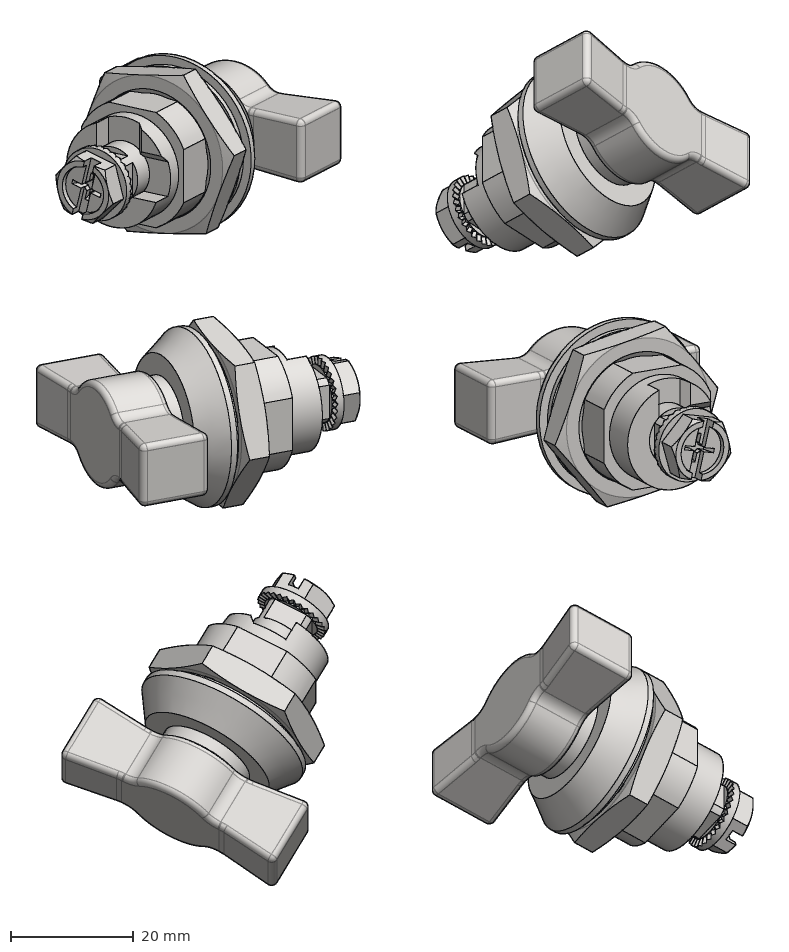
import cadquery as cq
import math


FLANGE_FRONT = 3.55
FLANGE_BACK = 5.1
BARREL_END = 8.85
STOP_FLOOR = 12.35
BODY_END = 14.75
NUT_FRONT = 21.05
NUT_BACK = 25.75
GASKET_FRONT = 26.3
BEZEL_FRONT = 27.25
BEZEL_RIM_TOP = 28.3
BEZEL_TOP = 33.35
HUB_BOTTOM = 35.6
HUB_TOP = 45.8

HEX_HALF_CORNER = math.radians(30)
MARGIN = 0.45

BEZEL_DIAMETER = 30.0
BEZEL_TOP_DIAMETER = 23.15
BODY_DIAMETER = 22.0
BODY_ACROSS_FLATS = 20.0
BARREL_DIAMETER = 18.0
STOP_EDGE = -3.1
STOP_BLOCK_EDGE = 2.9
STOP_BLOCK_HEIGHT = 1.2
STOP_BLOCK_SLOPE = 45.0

GASKET_DIAMETER = 27.0
NUT_ACROSS_FLATS = 27.0
NUT_BORE = 20.6
NUT_BORE_MOUTH = 22.35
NUT_LEAD_IN_ANGLE = 60.0
NUT_ANGLE = 9.4
NUT_CHAMFER_ANGLE = 15.0
NUT_TOOTH_COUNT = 4
NUT_TOOTH_ANGLE = 72.0
NUT_TOOTH_RADIUS = 12.2
NUT_TOOTH_WIDTH = 0.45
NUT_TOOTH_LENGTH = 1.7
NUT_TOOTH_RAMP = 0.5

HUB_DIAMETER = 18.0
KNOB_NECK_DIAMETER = 15.8
SPINDLE_DIAMETER = 9.8
SPINDLE_SQUARE = 7.8
WING_SPAN = 40.0
WING_END_HEIGHT = 11.0
WING_TAPER = 1.6
WING_ROOT_RADIUS = 3.0
WING_EDGE_RADIUS = 1.0
WING_ROOT = 9.55
FLARE_BEND_LENGTH = 0.45
TOP_FLARE = 7.4
BOTTOM_FLARE = 5.0

FLANGE_DIAMETER = 12.4
FLANGE_TOOTH_COUNT = 30
FLANGE_NOTCH_DEPTH = 0.4
FLANGE_NOTCH_SHARE = 0.9
FLANGE_NOTCH_ANGLE = 8.7
HEAD_ACROSS_FLATS = 10.0
HEAD_ANGLE = -14.0
HEAD_CHAMFER_ANGLE = 30.0
HEAD_RECESS_DIAMETER = 8.05
HEAD_RECESS_DEPTH = 1.0
SLOT_WIDTH = 1.95
SLOT_DEPTH = 2.0
CROSS_DEPTH = 3.05
CROSS_WIDTH = 0.7
CROSS_TOP_REACH = 2.8
CROSS_BOTTOM_REACH = 2.05
CROSS_CORE_DIAMETER = 1.9
THREAD_DIAMETER = 6.0
THREAD_END = BODY_END


def plane_at(y):
    """Workplane across the axis at station y; sketches on it extrude towards -Y."""
    return cq.Workplane("XZ", origin=(0, y, 0))


def cylinder(diameter, y_low, y_high):
    return plane_at(y_high).circle(diameter / 2).extrude(y_high - y_low)


def square_bar(side, y_low, y_high):
    return plane_at(y_high).rect(side, side).extrude(y_high - y_low)


def hexagon(across_flats, y_low, y_high, angle):
    """Hexagonal prism with one corner at the given angle from +X towards +Z."""
    corners = across_flats / math.cos(HEX_HALF_CORNER)
    prism = plane_at(y_high).polygon(6, corners).extrude(y_high - y_low)
    return turned(prism, angle)


def revolved(points):
    """Solid of revolution about Y from (radius, station) points."""
    return cq.Workplane("XY").polyline(points).close().revolve(360, (0, 0, 0), (0, 1, 0))


def turned(shape, angle):
    """Turn a shape about the axis, from +X towards +Z."""
    return shape.rotate((0, 0, 0), (0, -1, 0), angle)


def corner_cone(across_flats, y_low, y_high, angle, both_ends):
    """Turned envelope that chamfers the corners of a hexagon at its low end, or at both ends."""
    face_radius = across_flats / 2
    corner_radius = face_radius / math.cos(HEX_HALF_CORNER) + MARGIN
    drop = (corner_radius - face_radius) * math.tan(math.radians(angle))
    profile = [(0, y_low), (face_radius, y_low), (corner_radius, y_low + drop)]
    if both_ends:
        profile += [(corner_radius, y_high - drop), (face_radius, y_high), (0, y_high)]
    else:
        profile += [(corner_radius, y_high), (0, y_high)]
    return revolved(profile)


def quadrant_block(edge, y_low, y_high):
    """Block that covers the part of the barrel with X and Z above the edge value."""
    size = BARREL_DIAMETER
    return (
        plane_at(y_high)
        .rect(size, size, centered=False)
        .extrude(y_high - y_low)
        .translate((edge, 0, edge))
    )


def make_stop_block():
    """Raised corner block on the pocket floor, with two sloping inner sides."""
    half_side = BARREL_DIAMETER
    block = (
        plane_at(STOP_FLOOR)
        .rect(2 * half_side, 2 * half_side)
        .extrude(STOP_BLOCK_HEIGHT, taper=STOP_BLOCK_SLOPE)
        .translate((STOP_BLOCK_EDGE + half_side, 0, STOP_BLOCK_EDGE + half_side))
    )
    return block.intersect(cylinder(BARREL_DIAMETER, BARREL_END, STOP_FLOOR))


def flatted_body(y_low, y_high):
    """Round body with four flats."""
    flats = square_bar(BODY_ACROSS_FLATS, y_low, y_high)
    return cylinder(BODY_DIAMETER, y_low, y_high).intersect(flats)


def make_housing():
    bezel_radius = BEZEL_DIAMETER / 2
    bezel_profile = [
        (0, BEZEL_FRONT),
        (bezel_radius, BEZEL_FRONT),
        (bezel_radius, BEZEL_RIM_TOP),
        (BEZEL_TOP_DIAMETER / 2, BEZEL_TOP),
        (0, BEZEL_TOP),
    ]
    bezel = revolved(bezel_profile)
    body = flatted_body(BODY_END, BEZEL_FRONT)
    barrel = cylinder(BARREL_DIAMETER, BARREL_END, BODY_END)
    barrel = barrel.cut(quadrant_block(STOP_EDGE, BARREL_END, STOP_FLOOR)).union(make_stop_block())
    bore = cylinder(SPINDLE_DIAMETER, BARREL_END, BEZEL_TOP)
    return bezel.union(body).union(barrel).cut(bore)


def make_gasket():
    ring = cylinder(GASKET_DIAMETER, GASKET_FRONT, BEZEL_FRONT)
    return ring.cut(cylinder(BODY_DIAMETER, GASKET_FRONT, BEZEL_FRONT))


def make_nut_tooth():
    """Ramped tooth on the nut back face, bearing on the gasket; built at +X, then turned into place."""
    half = NUT_TOOTH_LENGTH / 2
    side = [
        (-half, NUT_BACK),
        (-half, GASKET_FRONT),
        (half - NUT_TOOTH_RAMP, GASKET_FRONT),
        (half, NUT_BACK),
    ]
    return (
        cq.Workplane("ZY", origin=(NUT_TOOTH_RADIUS, 0, 0))
        .polyline(side)
        .close()
        .extrude(NUT_TOOTH_WIDTH / 2, both=True)
    )


def make_nut():
    nut = hexagon(NUT_ACROSS_FLATS, NUT_FRONT, NUT_BACK, NUT_ANGLE)
    nut = nut.intersect(corner_cone(NUT_ACROSS_FLATS, NUT_FRONT, NUT_BACK, NUT_CHAMFER_ANGLE, True))
    nut = nut.cut(cylinder(NUT_BORE, NUT_FRONT, NUT_BACK)).cut(flatted_body(NUT_FRONT, NUT_BACK))
    lead_in_depth = (NUT_BORE_MOUTH - NUT_BORE) / 2 / math.tan(math.radians(NUT_LEAD_IN_ANGLE))
    lead_in = plane_at(NUT_FRONT).circle(NUT_BORE_MOUTH / 2)
    nut = nut.cut(lead_in.extrude(-lead_in_depth, taper=NUT_LEAD_IN_ANGLE))
    for i in range(NUT_TOOTH_COUNT):
        nut = nut.union(turned(make_nut_tooth(), NUT_TOOTH_ANGLE + i * 360 / NUT_TOOTH_COUNT))
    return nut


def bend_end(hub_y, flare_angle):
    """Point on a flared wing face where its bend ends, one bend length from the root."""
    run = FLARE_BEND_LENGTH * math.cos(math.radians(flare_angle))
    rise = FLARE_BEND_LENGTH * math.sin(math.radians(flare_angle))
    return (WING_ROOT + run, hub_y + rise)


def make_flare(low_tip, high_tip):
    """Side profile of the knob: flat over the hub, flaring to the wing tips through small bends."""
    tip_x = WING_SPAN / 2
    profile = (
        cq.Workplane("XY")
        .moveTo(0, HUB_BOTTOM)
        .lineTo(WING_ROOT - FLARE_BEND_LENGTH, HUB_BOTTOM)
        .tangentArcPoint(bend_end(HUB_BOTTOM, -BOTTOM_FLARE), relative=False)
        .lineTo(tip_x, low_tip)
        .lineTo(tip_x, high_tip)
        .lineTo(*bend_end(HUB_TOP, TOP_FLARE))
        .tangentArcPoint((WING_ROOT - FLARE_BEND_LENGTH, HUB_TOP), relative=False)
        .lineTo(0, HUB_TOP)
        .mirrorY()
    )
    return profile.extrude(HUB_DIAMETER / 2 + MARGIN, both=True)


def make_wing_knob():
    half_span = WING_SPAN / 2
    end_z = WING_END_HEIGHT / 2
    waist_z = end_z - half_span * math.tan(math.radians(WING_TAPER))
    wing_outline = [
        (-half_span, -end_z),
        (0, -waist_z),
        (half_span, -end_z),
        (half_span, end_z),
        (0, waist_z),
        (-half_span, end_z),
    ]
    flare_run = half_span - WING_ROOT
    top_rise = flare_run * math.tan(math.radians(TOP_FLARE))
    bottom_drop = flare_run * math.tan(math.radians(BOTTOM_FLARE))
    blank_low = HUB_BOTTOM - bottom_drop
    blank_high = HUB_TOP + top_rise
    wings = plane_at(blank_high).polyline(wing_outline).close().extrude(blank_high - blank_low)
    blank = wings.union(cylinder(HUB_DIAMETER, blank_low, blank_high))
    root_x = HUB_DIAMETER / 2
    roots = cq.selectors.BoxSelector((-root_x, blank_low, -root_x), (root_x, blank_high, root_x))
    blank = blank.edges("|Y").edges(roots).fillet(WING_ROOT_RADIUS)

    knob = blank.intersect(make_flare(blank_low, blank_high))
    knob = knob.edges("|Y and (<X or >X)").fillet(WING_EDGE_RADIUS)
    rims = "(not (|Y or |Z)) or (|Z and (<X or >X))"
    return knob.edges(rims).fillet(WING_EDGE_RADIUS)


def make_knob():
    """Wing knob with its neck, the round spindle through the housing and the square drive end."""
    knob = make_wing_knob()
    neck = cylinder(KNOB_NECK_DIAMETER, BEZEL_TOP, HUB_BOTTOM)
    spindle = cylinder(SPINDLE_DIAMETER, BARREL_END, BEZEL_TOP)
    drive = cylinder(SPINDLE_DIAMETER, FLANGE_BACK, BARREL_END)
    drive = drive.intersect(square_bar(SPINDLE_SQUARE, FLANGE_BACK, BARREL_END))
    screw_hole = cylinder(THREAD_DIAMETER, FLANGE_BACK, THREAD_END)
    return knob.union(neck).union(spindle).union(drive).cut(screw_hole)


def make_cross_arm():
    """Tapered bar of the cross recess, built along X."""
    side = [
        (-CROSS_TOP_REACH, HEAD_RECESS_DEPTH),
        (CROSS_TOP_REACH, HEAD_RECESS_DEPTH),
        (CROSS_BOTTOM_REACH, CROSS_DEPTH),
        (-CROSS_BOTTOM_REACH, CROSS_DEPTH),
    ]
    return cq.Workplane("XY").polyline(side).close().extrude(CROSS_WIDTH / 2, both=True)


def make_screw_head():
    head = hexagon(HEAD_ACROSS_FLATS, 0, FLANGE_FRONT, HEAD_ANGLE)
    head = head.intersect(corner_cone(HEAD_ACROSS_FLATS, 0, FLANGE_FRONT, HEAD_CHAMFER_ANGLE, False))
    return head.cut(cylinder(HEAD_RECESS_DIAMETER, 0, HEAD_RECESS_DEPTH))


def make_drive_recess():
    """Straight slot across the head with a deeper cross recess in its middle."""
    slot = plane_at(SLOT_DEPTH).rect(SLOT_WIDTH, FLANGE_DIAMETER).extrude(SLOT_DEPTH)
    core = cylinder(CROSS_CORE_DIAMETER, HEAD_RECESS_DEPTH, CROSS_DEPTH)
    recess = slot.union(core)
    for angle in (0, 90):
        recess = recess.union(turned(make_cross_arm(), angle))
    return turned(recess, HEAD_ANGLE)


def notch_section(half_width):
    """V-shaped section of a flange notch."""
    return [
        (-half_width, FLANGE_BACK),
        (half_width, FLANGE_BACK),
        (0, FLANGE_BACK - FLANGE_NOTCH_DEPTH),
    ]


def make_flange_notch():
    """V-shaped groove across the flange back face, narrowing towards the axis; built along +X."""
    pitch = math.radians(360 / FLANGE_TOOTH_COUNT)
    outer_x = FLANGE_DIAMETER / 2 + MARGIN
    inner_x = SPINDLE_DIAMETER / 2
    half_slope = math.tan(pitch / 2) * FLANGE_NOTCH_SHARE
    return (
        cq.Workplane("ZY", origin=(outer_x, 0, 0))
        .polyline(notch_section(outer_x * half_slope))
        .close()
        .workplane(offset=outer_x - inner_x)
        .polyline(notch_section(inner_x * half_slope))
        .close()
        .loft(ruled=True)
    )


def make_flange():
    """Round flange with a ring of radial notches in its back face."""
    flange = cylinder(FLANGE_DIAMETER, FLANGE_FRONT, FLANGE_BACK)
    for i in range(FLANGE_TOOTH_COUNT):
        angle = FLANGE_NOTCH_ANGLE + i * 360 / FLANGE_TOOTH_COUNT
        flange = flange.cut(turned(make_flange_notch(), angle))
    return flange


def make_screw():
    thread = cylinder(THREAD_DIAMETER, FLANGE_BACK, THREAD_END)
    screw = make_screw_head().union(make_flange()).union(thread)
    return screw.cut(make_drive_recess())


housing = make_housing()
gasket = make_gasket()
nut = make_nut()
knob = make_knob()
screw = make_screw()

result = cq.Compound.makeCompound([housing.val(), gasket.val(), nut.val(), knob.val(), screw.val()])